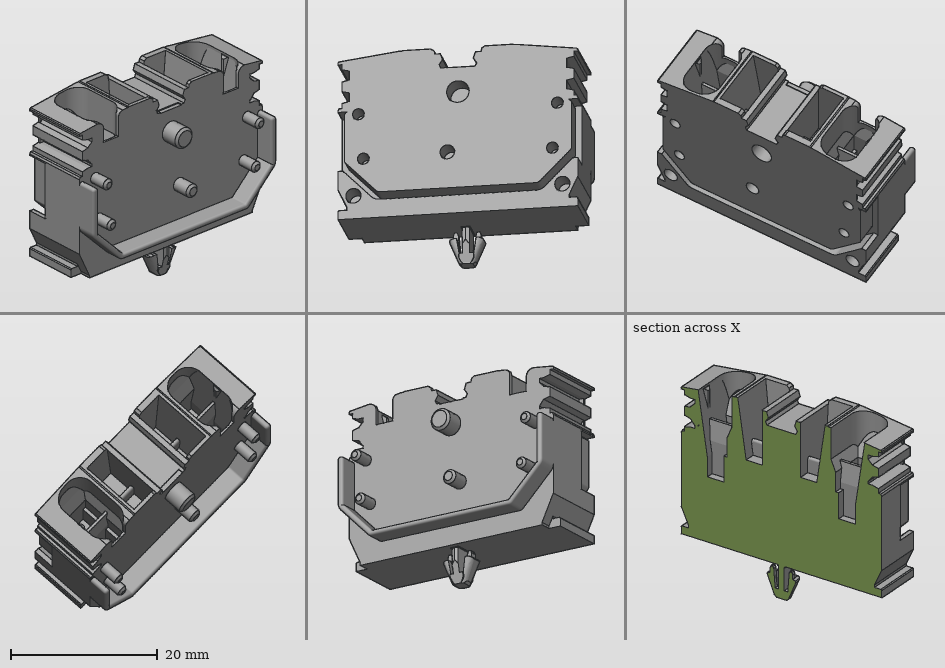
import cadquery as cq
import math

body_depth = 10.25
total_depth = 13.2
half_length = 16.6
top_z = 23.7
base_z = -0.1
clip_tip_z = -5.2

shoulder_z = 22.6
edge_bevel = 0.15
lip_underside_z = 22.17
step_y = (7.6, 7.8, 8.2)
step_depth = 0.07
notch_floor_z = 20.87
notch_ledge_z = 22.93

rib_face_y = 16.05
groove_face_y = 15.05
rib_slope = 0.25
upper_groove_z = (19.93, 21.2)
lower_groove_z = (16.83, 18.05)
groove_extra_depth = 0.7
lower_groove_back = 0.35
groove_skin = 0.35
waist_z = 15.87
waist_bevel = 0.32

flange_height = 1.2
flange_depth = 8.5
foot_notch_y = 15.4
foot_notch_z = 1.57
foot_slope_top_z = 4.13
foot_edge_z = 0.25

channel_depth = 3.2
channel_top_z = 15.33
channel_wall_y = 15.72
channel_wall_z = 8.15
channel_inner_floor_z = 3.57
channel_outer_z = 6.85
channel_outer_y = 15.9
channel_outer_floor_z = 2.5
channel_corner = 0.35
channel_outer_radius = 1.6
channel_inner_radius = 0.8
channel_bend_radius = 0.5
tongue_top_z = 15.1
tongue_wall_y = 15.7
tongue_wall_z = 8.05
tongue_inner_floor_z = 3.45
tongue_outer_z = 7.8
tongue_floor_z = 2.68
tongue_edge_radius = 0.35
tongue_tip_radius = 0.42
tongue_heel_radius = 1.3
tongue_outer_radius = 0.8
tongue_inner_radius = 0.4

hole_depth = 3.2
peg_chamfer = 0.35
shared_holes = [
    (0, 17.33, 1.55),
    (1.46, 8.74, 1.0),
    (13.77, 14.9, 0.8),
    (-13.77, 14.9, 0.8),
    (13.09, 8.46, 0.8),
    (-13.09, 8.46, 0.8),
]
foot_holes = [(14.46, 3.2, 1.05), (-14.46, 3.2, 1.05)]

oval_x = (0.37, 9.94)
oval_y = (8.22, 13.66)
oval_radius = 2.3
throat_top_z = 18.8
throat_floor_z = 17.0
end_ramp_x = 1.18
end_ramp_top_z = 20.5
outer_wall_top_z = 22.5
outer_wall_foot_z = 13.0
well_x = (2.34, 9.4)
well_y = (9.0, 12.2)
well_floor_z = 10.0
ledge_y = 9.5
ledge_z = 14.0
divider_x = 5.84
divider_crest_width = 0.42
divider_base_width = 1.45
divider_crest_z = 18.0
divider_base_z = 15.0
ridge_reach = 0.45
ridge_bevel = 0.36
ridge_top_z = 22.6

gap_y = (9.5, 12.2)
gap_flare_y = (8.74, 13.3)
gap_floor_z = 19.8
gap_inner_top_z = 23.55
gap_outer_top_z = 22.97
gap_start_x = 8.6

funnel_x = (0.97, 9.69)
funnel_y = (3.2, 7.18)
funnel_floor_x = 1.66
funnel_floor_y = 5.8
funnel_floor_z = 14.5
funnel_rib_width = 0.7
funnel_rib_x = 5.65
funnel_rib_y = 6.05
funnel_rib_height = 2.0

label_recess_x = 9.57
label_recess_half_width = 1.9
label_recess_depth = 0.15

clip_x = 7.62
stem_width = 3.55
stem_tip_width = 2.0
stem_half_thickness = 0.5
stem_edge_bevel = 0.15
stem_taper_z = -1.93
barb_top_width = 2.55
barb_tip_width = 2.05
barb_top_half_span = 2.57
barb_tip_half_span = 1.06
barb_top_z = -1.6
barb_round = 0.75
slot_floor_z = -3.75
arm_width = 0.95
arm_tip_z = -0.55
collar_half_thickness = 0.62
collar_height = 0.12


def yz_prism(points, x_start, x_end):
    """Prism along X whose cross-section is a polygon of (y, z) points."""
    return cq.Workplane("YZ").workplane(offset=x_start).polyline(points).close().extrude(x_end - x_start)


def mirrored(half):
    """Closed outline from its +Y half, listed from the top centre to the bottom centre."""
    return half + [(-y, z) for y, z in reversed(half)]


def box(x_range, y_range, z_range):
    """Box spanning the given coordinate ranges."""
    sizes = [high - low for low, high in (x_range, y_range, z_range)]
    return cq.Workplane("XY").box(*sizes, centered=False).translate((x_range[0], y_range[0], z_range[0]))


def round_x_edges(solid, points, x_middle, radius):
    """Fillet the X-parallel edges through the given (y, z) points and their mirror images."""
    for y, z in points:
        for side in (1, -1):
            solid = solid.edges(cq.NearestToPointSelector((x_middle, side * y, z))).fillet(radius)
    return solid


def both_ends(solid):
    """The given solid together with its mirror image across Y = 0."""
    return solid.union(solid.mirror("XZ"))


def pins(places, x_start, length):
    """Cylinders along X at the given (y, z, radius) places."""
    group = cq.Workplane("YZ")
    for y, z, radius in places:
        pin = cq.Workplane("YZ").workplane(offset=x_start).center(y, z).circle(radius).extrude(length)
        group = group.union(pin)
    return group


def make_block():
    """Constant cross-section of the housing, with the deep grooves and the short foot flange."""
    outline = [
        (2.37, notch_floor_z),
        (2.6, 21.35),
        (2.13, 22.05),
        (2.43, notch_ledge_z),
        (3.2, notch_ledge_z),
        (3.3, 23.4),
        (3.74, top_z),
        (step_y[0], top_z),
        (step_y[1], top_z - step_depth),
        (step_y[2], top_z - step_depth),
        (half_length - edge_bevel, shoulder_z),
        (half_length, shoulder_z - edge_bevel),
        (half_length, lip_underside_z),
        (rib_face_y, lip_underside_z),
        (rib_face_y, upper_groove_z[1] + rib_slope),
        (groove_face_y, upper_groove_z[1]),
        (groove_face_y, upper_groove_z[0]),
        (rib_face_y, upper_groove_z[0] - rib_slope),
        (rib_face_y, lower_groove_z[1] + rib_slope),
        (groove_face_y, lower_groove_z[1]),
        (groove_face_y, lower_groove_z[0]),
        (rib_face_y, lower_groove_z[0] - rib_slope),
        (rib_face_y, waist_z),
        (half_length - edge_bevel, waist_z),
        (half_length, waist_z - waist_bevel),
        (half_length, foot_slope_top_z),
        (foot_notch_y, foot_notch_z),
        (foot_notch_y, flange_height),
        (half_length - edge_bevel, flange_height),
        (half_length, flange_height - edge_bevel),
        (half_length, base_z),
    ]
    block = yz_prism(mirrored(outline), 0, body_depth)

    slope = (half_length - foot_notch_y) / (foot_slope_top_z - foot_notch_z)
    foot_edge_y = foot_notch_y - slope * (foot_notch_z - foot_edge_z)
    flange_end = [
        (foot_notch_y, foot_notch_z),
        (foot_edge_y, foot_edge_z),
        (foot_edge_y, base_z),
        (half_length, base_z),
        (half_length, foot_notch_z),
    ]
    deep_y = groove_face_y - groove_extra_depth
    upper_deep = [
        (groove_face_y, upper_groove_z[0]),
        (deep_y, upper_groove_z[0] + groove_extra_depth),
        (deep_y, upper_groove_z[1]),
        (groove_face_y, upper_groove_z[1]),
    ]
    lower_deep = [
        (groove_face_y, lower_groove_z[1]),
        (deep_y, lower_groove_z[0] + lower_groove_back),
        (deep_y, lower_groove_z[0]),
        (groove_face_y, lower_groove_z[0]),
    ]
    block = block.cut(both_ends(yz_prism(flange_end, flange_depth, body_depth)))
    for deep_part in (upper_deep, lower_deep):
        block = block.cut(both_ends(yz_prism(deep_part, groove_skin, body_depth)))
    return block


def make_channel():
    """U-shaped channel volume between an outer and an inner outline."""
    inner_floor_y = channel_wall_y - (channel_wall_z - channel_inner_floor_z)
    outer_floor_y = channel_outer_y - (channel_outer_z - channel_outer_floor_z)
    outer = yz_prism(
        mirrored([
            (half_length, channel_top_z),
            (half_length, channel_outer_z),
            (channel_outer_y, channel_outer_z),
            (outer_floor_y, channel_outer_floor_z),
        ]), 0, channel_depth)
    outer = round_x_edges(
        outer, [(outer_floor_y, channel_outer_floor_z)], channel_depth / 2, channel_outer_radius)
    inner = yz_prism(
        mirrored([
            (channel_wall_y - channel_corner, channel_top_z),
            (channel_wall_y, channel_top_z - channel_corner),
            (channel_wall_y, channel_wall_z),
            (inner_floor_y, channel_inner_floor_z),
        ]), 0, channel_depth)
    inner = round_x_edges(
        inner, [(inner_floor_y, channel_inner_floor_z)], channel_depth / 2, channel_inner_radius)
    inner = round_x_edges(
        inner, [(channel_wall_y, channel_wall_z)], channel_depth / 2, channel_bend_radius)
    return outer.cut(inner)


def make_tongue():
    """U-shaped wall standing on the +X face, rounded along its free edge."""
    x_middle = (body_depth + total_depth) / 2
    outer_floor_y = half_length - (tongue_outer_z - tongue_floor_z)
    inner_floor_y = tongue_wall_y - (tongue_wall_z - tongue_inner_floor_z)
    tongue = yz_prism(
        [
            (half_length, tongue_top_z),
            (half_length, tongue_outer_z),
            (outer_floor_y, tongue_floor_z),
            (-outer_floor_y, tongue_floor_z),
            (-half_length, tongue_outer_z),
            (-half_length, tongue_top_z),
            (-tongue_wall_y, tongue_top_z),
            (-tongue_wall_y, tongue_wall_z),
            (-inner_floor_y, tongue_inner_floor_z),
            (inner_floor_y, tongue_inner_floor_z),
            (tongue_wall_y, tongue_wall_z),
            (tongue_wall_y, tongue_top_z),
        ], body_depth, total_depth)
    tongue = round_x_edges(tongue, [(half_length, tongue_outer_z)], x_middle, tongue_heel_radius)
    tongue = round_x_edges(tongue, [(outer_floor_y, tongue_floor_z)], x_middle, tongue_outer_radius)
    tongue = round_x_edges(tongue, [(inner_floor_y, tongue_inner_floor_z)], x_middle, tongue_inner_radius)
    tip_corners = [(half_length, tongue_top_z), (tongue_wall_y, tongue_top_z)]
    tongue = round_x_edges(tongue, tip_corners, x_middle, tongue_tip_radius)
    return tongue.faces(">X").edges().fillet(tongue_edge_radius)


def make_screw_pocket():
    """Oval shaft narrowed by sloping walls to a rectangular well, with a divider across it."""
    x_size = oval_x[1] - oval_x[0]
    y_size = oval_y[1] - oval_y[0]
    shaft = (
        cq.Workplane("XY")
        .workplane(offset=well_floor_z)
        .center(sum(oval_x) / 2, sum(oval_y) / 2)
        .rect(x_size, y_size)
        .extrude(top_z - well_floor_z)
        .edges("|Z")
        .fillet(oval_radius)
    )
    x_section = (
        cq.Workplane("XZ")
        .polyline([
            (oval_x[0], top_z),
            (oval_x[0], end_ramp_top_z),
            (end_ramp_x, throat_top_z),
            (well_x[0], throat_floor_z),
            (well_x[0], well_floor_z),
            (well_x[1], well_floor_z),
            (well_x[1], throat_floor_z),
            (oval_x[1], throat_top_z),
            (oval_x[1], top_z),
        ])
        .close()
        .extrude(-half_length)
    )
    y_section = yz_prism([
        (oval_y[0], top_z),
        (oval_y[0], throat_top_z),
        (well_y[0], throat_floor_z),
        (well_y[0], ledge_z),
        (ledge_y, ledge_z),
        (ledge_y, well_floor_z),
        (well_y[1], well_floor_z),
        (well_y[1], outer_wall_foot_z),
        (oval_y[1], outer_wall_top_z),
        (oval_y[1], top_z),
    ], 0, body_depth)

    crest = divider_crest_width / 2
    base = divider_base_width / 2
    divider = (
        cq.Workplane("XZ")
        .polyline([
            (divider_x - base, well_floor_z),
            (divider_x - base, divider_base_z),
            (divider_x - crest, divider_crest_z),
            (divider_x + crest, divider_crest_z),
            (divider_x + base, divider_base_z),
            (divider_x + base, well_floor_z),
        ])
        .close()
        .extrude(-oval_y[1])
    )
    ridge = (
        cq.Workplane("XY")
        .workplane(offset=well_floor_z)
        .polyline([
            (divider_x - base, oval_y[1]),
            (divider_x - crest, oval_y[1] - ridge_reach),
            (divider_x + crest, oval_y[1] - ridge_reach),
            (divider_x + base, oval_y[1]),
        ])
        .close()
        .extrude(ridge_top_z - well_floor_z)
    )
    ridge = ridge.faces(">Z").edges("<Y").chamfer(ridge_bevel)
    return shaft.intersect(x_section).intersect(y_section).cut(divider).cut(ridge)


def make_wall_gap():
    """Gap through the +X wall with its two upper corners flared by quarter arcs."""
    inner_y, outer_y = gap_y
    inner_flare, outer_flare = gap_flare_y
    inner_radius = inner_y - inner_flare
    outer_radius = outer_flare - outer_y
    diagonal = 1 - math.sqrt(0.5)
    return (
        cq.Workplane("YZ")
        .workplane(offset=gap_start_x)
        .moveTo(inner_y, gap_floor_z)
        .lineTo(outer_y, gap_floor_z)
        .lineTo(outer_y, gap_outer_top_z - outer_radius)
        .threePointArc(
            (outer_y + diagonal * outer_radius, gap_outer_top_z - diagonal * outer_radius),
            (outer_flare, gap_outer_top_z))
        .lineTo(outer_flare, top_z)
        .lineTo(inner_flare, top_z)
        .lineTo(inner_flare, gap_inner_top_z)
        .threePointArc(
            (inner_y - diagonal * inner_radius, gap_inner_top_z - diagonal * inner_radius),
            (inner_y, gap_inner_top_z - inner_radius))
        .close()
        .extrude(body_depth - gap_start_x)
    )


def make_wire_funnel():
    """Funnel whose -X wall and outer wall lean inwards, with a round-topped rib on its floor."""
    x_section = (
        cq.Workplane("XZ")
        .polyline([
            (funnel_x[0], top_z),
            (funnel_floor_x, funnel_floor_z),
            (funnel_x[1], funnel_floor_z),
            (funnel_x[1], top_z),
        ])
        .close()
        .extrude(-half_length)
    )
    y_section = yz_prism([
        (funnel_y[0], top_z),
        (funnel_y[0], funnel_floor_z),
        (funnel_floor_y, funnel_floor_z),
        (funnel_y[1], top_z),
    ], 0, body_depth)
    funnel = x_section.intersect(y_section)

    half_rib = funnel_rib_width / 2
    crown_z = funnel_floor_z + funnel_rib_height
    rib = box(
        (funnel_rib_x - half_rib, funnel_rib_x + half_rib),
        (funnel_y[0], funnel_rib_y),
        (funnel_floor_z, crown_z))
    crown = (
        cq.Workplane("XZ")
        .workplane(offset=-funnel_y[0])
        .center(funnel_rib_x, crown_z)
        .circle(half_rib)
        .extrude(funnel_y[0] - funnel_rib_y)
    )
    return funnel.cut(rib).cut(crown)


def make_clip():
    """Stem with two sprung arms, each carrying a tapered rounded barb."""
    def x_profile(top_width, tip_width, taper_z):
        """Slab along Y that narrows towards the tip of the clip."""
        return (
            cq.Workplane("XZ")
            .polyline([
                (clip_x - top_width / 2, base_z),
                (clip_x + top_width / 2, base_z),
                (clip_x + top_width / 2, taper_z),
                (clip_x + tip_width / 2, clip_tip_z),
                (clip_x - tip_width / 2, clip_tip_z),
                (clip_x - top_width / 2, taper_z),
            ])
            .close()
            .extrude(half_length, both=True)
        )

    x_low = clip_x - stem_width / 2
    x_high = clip_x + stem_width / 2
    thick = stem_half_thickness
    stem = (
        cq.Workplane("XY")
        .polyline([
            (x_low, 0),
            (x_low + stem_edge_bevel, thick),
            (x_high - stem_edge_bevel, thick),
            (x_high, 0),
            (x_high - stem_edge_bevel, -thick),
            (x_low + stem_edge_bevel, -thick),
        ])
        .close()
        .extrude(clip_tip_z)
        .intersect(x_profile(stem_width, stem_tip_width, stem_taper_z))
    )
    collar = box(
        (x_low, x_high), (-collar_half_thickness, collar_half_thickness), (base_z - collar_height, base_z))

    core_half = [
        (1.0, slot_floor_z),
        (1.05, -4.3),
        (0.8, -4.8),
        (0.5, clip_tip_z),
    ]
    core = yz_prism(mirrored(core_half), x_low, x_high)
    core = core.intersect(x_profile(stem_width, stem_tip_width, stem_taper_z))

    def barb_section(width, half_span, z):
        """Rounded rectangle across the clip at height z."""
        plane = cq.Location(cq.Vector(clip_x, 0, z))
        return cq.Sketch().rect(width, 2 * half_span).vertices().fillet(barb_round).moved(plane)

    barb_half = [
        (1.0, slot_floor_z),
        (1.35, barb_top_z),
        (1.85, barb_top_z),
        (2.3, -1.75),
        (2.5, -2.1),
        (2.5, -3.5),
        (1.35, -4.7),
        (0.85, clip_tip_z),
    ]
    barb_cone = cq.Workplane("XY").placeSketch(
        barb_section(barb_tip_width, barb_tip_half_span, clip_tip_z),
        barb_section(barb_top_width, barb_top_half_span, barb_top_z),
    ).loft()
    barbs = barb_cone.intersect(yz_prism(mirrored(barb_half), x_low, x_high))

    arm = [
        (1.0, slot_floor_z),
        (1.24, -0.85),
        (1.4, arm_tip_z),
        (1.75, arm_tip_z),
        (1.9, -0.9),
        (1.9, -1.7),
        (1.4, slot_floor_z),
    ]
    arms = both_ends(yz_prism(arm, clip_x - arm_width / 2, clip_x + arm_width / 2))
    return stem.union(collar).union(core).union(barbs).union(arms)


block = make_block().cut(make_channel())
block = block.cut(pins(shared_holes + foot_holes, 0, hole_depth))
for opening in (make_screw_pocket(), make_wall_gap(), make_wire_funnel()):
    block = block.cut(both_ends(opening))
block = block.cut(box(
    (label_recess_x, body_depth),
    (-label_recess_half_width, label_recess_half_width),
    (notch_floor_z - label_recess_depth, notch_floor_z)))

pegs = pins(shared_holes, body_depth, total_depth - body_depth).faces(">X").edges().chamfer(peg_chamfer)

result = block.union(make_tongue()).union(pegs).union(make_clip())